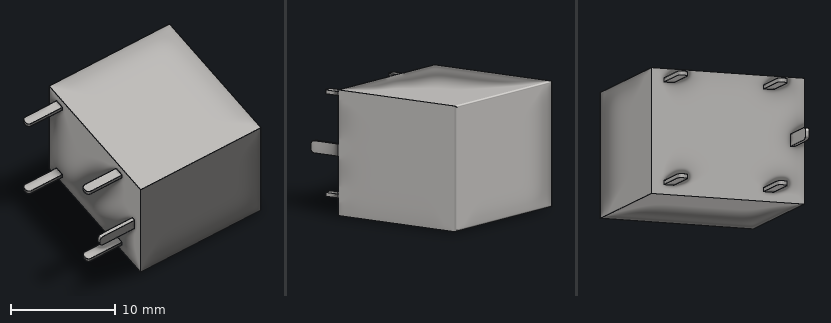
import cadquery as cq

body_width = 15.7
body_depth = 14.0
body_height = 12.3
back_edge_radius = 0.2

overall_depth = 18
pin_length = overall_depth - body_depth
tip_radius = 0.4
corner_pin_width = 1.0
corner_pin_thickness = 0.4
side_pin_width = 1.2
side_pin_thickness = 0.4

left_pin_inset = 1.78
pin_pitch_x = 10.22
pin_pitch_z = 10.0
side_pin_inset = 1.22

left_pin_x = left_pin_inset - body_width / 2
right_pin_x = left_pin_x + pin_pitch_x
side_pin_x = body_width / 2 - side_pin_inset


def make_body():
    """Plain block with its back edges rounded."""
    block = cq.Workplane("XY").box(
        body_width, body_depth, body_height, centered=(True, False, True)
    )
    return block.faces(">Y").edges().fillet(back_edge_radius)


def make_pin(x, z, size_x, size_z, thickness_axis):
    """Blade from the pin face towards -Y, tip rounded across its width."""
    blade = cq.Workplane("XY").box(
        size_x, pin_length, size_z, centered=(True, False, True)
    )
    blade = blade.translate((x, -pin_length, z))
    return blade.faces("<Y").edges("|" + thickness_axis).fillet(tip_radius)


result = make_body()

for pin_x in (left_pin_x, right_pin_x):
    for pin_z in (-pin_pitch_z / 2, pin_pitch_z / 2):
        result = result.union(
            make_pin(pin_x, pin_z, corner_pin_width, corner_pin_thickness, "Z")
        )

result = result.union(
    make_pin(side_pin_x, 0, side_pin_thickness, side_pin_width, "X")
)